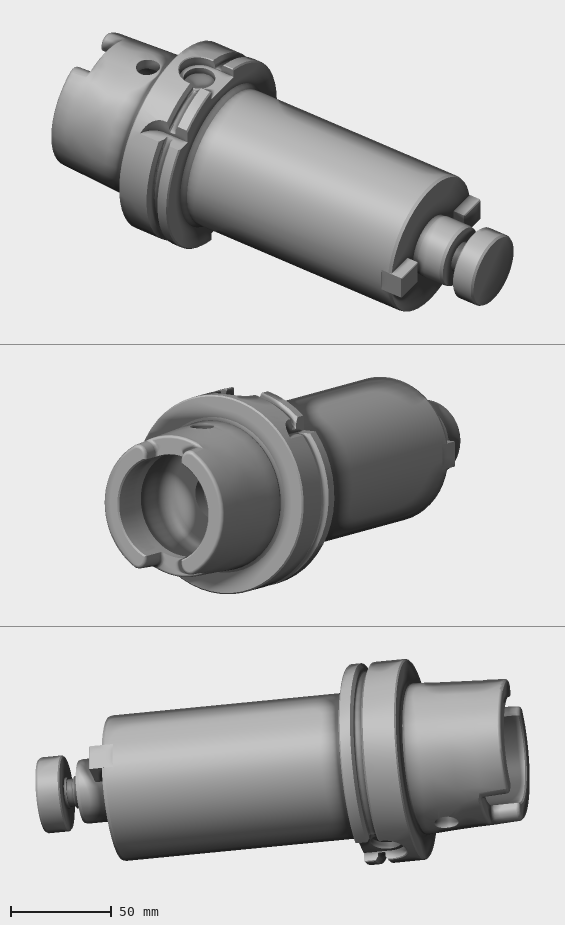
import cadquery as cq
import math

total_length = 239.5
taper_length = 50.0
flange_end = 79
shank_end = 202.0
pilot_end = 219.5

gauge_radius = 37.8
taper_slope = 0.05
nose_radius = gauge_radius - taper_slope * taper_length
nose_fillet = 1.7
undercut_start = 48.0
undercut_slope_length = 0.7
undercut_width = 0.5
undercut_radius = 37.3
undercut_mouth_radius = 39.0

flange_radius = 50.0
flange_chamfer = 0.7
groove_center = 70.0
groove_width = 3.8
groove_mouth_width = 6.5
groove_radius = 45.7
groove_lip_radius = 47.9
groove_fillet = 0.7
neck_radius = 38.3
neck_length = 2.6

shank_radius = 72.5 / 2
shank_chamfer_length = 1.7
shank_chamfer_depth = 0.5
relief_radius = 31.4 / 2
relief_length = 2.6
pilot_radius = 16.0
pilot_chamfer_length = 1.7
pilot_chamfer_depth = 0.5

bore_radius = 53.0 / 2
bore_chamfer = 0.7
rough_bore_radius = bore_radius - 4.8
bore_straight_length = 20.0
chamber_radius = 31.1
chamber_fillet = 6.2
bore_floor = 47.9
center_hole_radius = 25.0 / 2
center_hole_floor_radius = 21.0 / 2
center_hole_depth = 4.8
passage_diameter = 12

notch_half_width = 10.3
notch_edge_fillet = 5.0
notch_floor_fillet = 1.5
upper_notch_depth = 9.8
lower_notch_depth = 14.5

access_hole_diameter = 12
access_hole_x = 35.0

cutter_radius = 10.0
keyway_end_center = 65.4
keyway_floor = 44.0
slot_chamfer = 0.5
dimple_diameter = 15.8
dimple_depth = 3.5
orientation_wall = 31.5
orientation_floor = 31.4

key_width = 12.7
key_start = 196.3
key_end = 208.5
key_inner = 21.0
key_outer = math.sqrt(shank_radius**2 - (key_width / 2) ** 2)
key_chamfer = 0.5

thread_radius = 16.0 / 2
thread_start = 191.5
thread_end = 222.6
thread_tip_radius = 7.5
thread_tip_length = 0.7
screw_neck_radius = 14.0 / 2
collar_radius = 15.8 / 2
collar_start = 226.0
head_start = 227.2
head_radius = 19.0
head_chamfer = 0.7
head_end_chamfer_length = 1.2


def revolve_profile(points):
    """Solid of revolution about X from (x, radius) points."""
    return cq.Workplane("XY").polyline(points).close().revolve(360, (0, 0, 0), (1, 0, 0))


def edges_where(body, test):
    """The edges of a body whose center passes a test."""
    return body.newObject([edge for edge in body.edges().vals() if test(edge.Center())])


def holder_blank():
    """Taper, flange, shank and pilot as one solid of revolution."""
    flange_left = taper_length
    undercut_floor = undercut_start + undercut_slope_length
    points = [
        (0, 0),
        (0, nose_radius),
        (undercut_start, nose_radius + taper_slope * undercut_start),
        (undercut_floor, undercut_radius),
        (undercut_floor + undercut_width, undercut_radius),
        (flange_left, undercut_mouth_radius),
        (flange_left, flange_radius - flange_chamfer),
        (flange_left + flange_chamfer, flange_radius),
        (flange_end - flange_chamfer, flange_radius),
        (flange_end, flange_radius - flange_chamfer),
        (flange_end, neck_radius),
        (flange_end + neck_length, shank_radius),
        (shank_end - shank_chamfer_length, shank_radius),
        (shank_end, shank_radius - shank_chamfer_depth),
        (shank_end, relief_radius),
        (shank_end + relief_length, relief_radius),
        (shank_end + relief_length, pilot_radius),
        (pilot_end - pilot_chamfer_length, pilot_radius),
        (pilot_end, pilot_radius - pilot_chamfer_depth),
        (pilot_end, 0),
    ]
    return revolve_profile(points)


def gripper_groove():
    """Ring cutter for the straight groove with its chamfered mouth."""
    half = groove_width / 2
    half_mouth = groove_mouth_width / 2
    points = [
        (groove_center - half, groove_radius),
        (groove_center - half, groove_lip_radius),
        (groove_center - half_mouth, flange_radius),
        (groove_center + half_mouth, flange_radius),
        (groove_center + half, groove_lip_radius),
        (groove_center + half, groove_radius),
    ]
    return revolve_profile(points).edges(cq.selectors.RadiusNthSelector(0)).fillet(groove_fillet)


def rough_bore():
    """Cutter for the narrower bore that divides the nose wall before its edges are rounded."""
    return cq.Workplane("YZ").circle(rough_bore_radius).extrude(bore_straight_length)


def clamping_bore():
    """Cutter for the bore, the wider chamber behind it and the holes on to the screw."""
    chamber_start = bore_straight_length + chamber_radius - bore_radius
    center_hole_floor = bore_floor + center_hole_depth
    points = [
        (0, 0),
        (0, bore_radius + bore_chamfer),
        (bore_chamfer, bore_radius),
        (bore_straight_length, bore_radius),
        (chamber_start, chamber_radius),
        (bore_floor, chamber_radius),
        (bore_floor, center_hole_radius),
        (center_hole_floor, center_hole_floor_radius),
        (center_hole_floor, passage_diameter / 2),
        (thread_start, passage_diameter / 2),
        (thread_start, thread_radius),
        (pilot_end, thread_radius),
        (pilot_end, 0),
    ]
    widest = cq.selectors.RadiusNthSelector(-1)
    return revolve_profile(points).edges(widest).edges(">X").fillet(chamber_fillet)


def cut_drive_notch(body, depth, side):
    """Cuts one notch across the nose wall and rounds its edges; side is +1 or -1 in Z."""
    height = gauge_radius
    notch = cq.Workplane("XY").box(depth, 2 * notch_half_width, height)
    body = body.cut(notch.translate((depth / 2, 0, side * height / 2)))

    def on_wall(point):
        return abs(abs(point.y) - notch_half_width) < 0.02 and side * point.z > 0

    def on_outer_edge(point):
        return on_wall(point) and side * point.z > nose_radius - 4.8 and 0.2 < point.x < depth - 0.2

    def on_floor_edge(point):
        beside = abs(point.y) > notch_half_width - 0.02 and side * point.z > 0
        return beside and abs(point.x - depth) < 0.02

    body = edges_where(body, on_outer_edge).fillet(notch_edge_fillet)
    return edges_where(body, on_floor_edge).fillet(notch_floor_fillet)


def round_nose(body):
    """Rounds the outline of the nose's end faces, except along the rough bore."""
    rim = [
        edge
        for edge in body.faces("<X").edges().vals()
        if edge.geomType() != "CIRCLE" or edge.radius() > bore_radius
    ]
    return body.newObject(rim).fillet(nose_fillet)


def round_ended_slot(center_y, floor):
    """Cutter open toward +X and +Z, with a round end about a vertical axis."""
    height = flange_radius - floor
    length = flange_end - keyway_end_center
    round_end = (
        cq.Workplane("XY", (keyway_end_center, center_y, floor))
        .circle(cutter_radius)
        .extrude(height)
    )
    straight = (
        cq.Workplane("XY", (keyway_end_center, center_y, floor))
        .rect(2 * length, 2 * cutter_radius)
        .extrude(height)
        .intersect(
            cq.Workplane("XY", (keyway_end_center + length / 2, center_y, floor))
            .rect(length, 2 * cutter_radius)
            .extrude(height)
        )
    )
    return round_end.union(straight)


def keyway():
    """Cutter for the upper keyway with the round dimple in its floor."""
    dimple = (
        cq.Workplane("XY", (keyway_end_center, 0, keyway_floor - dimple_depth))
        .circle(dimple_diameter / 2)
        .extrude(dimple_depth)
    )
    return round_ended_slot(0, keyway_floor).union(dimple)


def access_hole():
    return (
        cq.Workplane("XY", (access_hole_x, 0, -gauge_radius))
        .circle(access_hole_diameter / 2)
        .extrude(2 * gauge_radius)
    )


def key_block(side):
    """Plain block of one drive key; side is +1 or -1 in Y."""
    return cq.Workplane("XY").box(
        key_end - key_start, key_outer - key_inner, key_width
    ).translate(((key_start + key_end) / 2, side * (key_inner + key_outer) / 2, 0))


def key_seat(side):
    """Cutter for a key seat, open at the shank's end and at its round surface."""
    depth = shank_radius - key_inner
    return cq.Workplane("XY").box(
        key_end - key_start, depth, key_width
    ).translate(((key_start + key_end) / 2, side * (key_inner + depth / 2), 0))


def chamfer_keyway_rim(body, side):
    """Breaks the edge where a keyway meets the flange's round surface; side is +1 or -1 in Z."""
    lowest_rim = math.sqrt(flange_radius**2 - cutter_radius**2) - flange_chamfer

    def on_rim(point):
        inside = taper_length + 2.5 < point.x < flange_end - flange_chamfer
        return inside and abs(point.y) < cutter_radius + 0.2 and side * point.z > lowest_rim

    return edges_where(body, on_rim).chamfer(slot_chamfer)


def make_holder():
    body = holder_blank().cut(rough_bore())
    body = cut_drive_notch(body, upper_notch_depth, 1)
    body = cut_drive_notch(body, lower_notch_depth, -1)
    body = round_nose(body)
    body = body.cut(clamping_bore())
    body = body.cut(access_hole())
    body = body.cut(keyway())
    body = chamfer_keyway_rim(body, 1)
    body = body.cut(keyway().rotate((0, 0, 0), (1, 0, 0), 180))
    body = chamfer_keyway_rim(body, -1)
    body = body.cut(round_ended_slot(-orientation_wall - cutter_radius, orientation_floor))
    body = body.cut(gripper_groove())
    for side in (1, -1):
        body = body.cut(key_seat(side))
    return body


def make_key(side):
    return key_block(side).faces(">X").chamfer(key_chamfer)


def make_screw():
    points = [
        (thread_start, 0),
        (thread_start, thread_radius),
        (thread_end, thread_radius),
        (thread_end, thread_tip_radius),
        (thread_end + thread_tip_length, screw_neck_radius),
        (collar_start, screw_neck_radius),
        (collar_start, collar_radius),
        (head_start, collar_radius),
        (head_start, head_radius - head_chamfer),
        (head_start + head_chamfer, head_radius),
        (total_length - head_end_chamfer_length, head_radius),
        (total_length, head_radius - head_chamfer),
        (total_length, 0),
    ]
    return revolve_profile(points)


holder = make_holder()
keys = [make_key(side) for side in (1, -1)]
screw = make_screw()

result = cq.Compound.makeCompound([holder.val(), *[key.val() for key in keys], screw.val()])